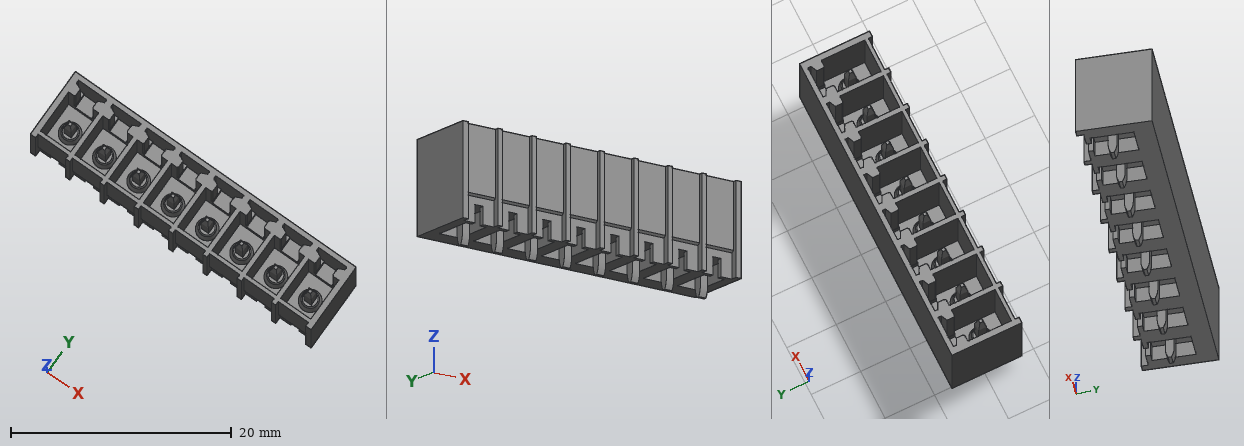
import cadquery as cq
import math

length = 31.17
depth = 7.08
height = 9.23

way_count = 8
bay_width = 3.35
end_wall = 0.6
pitch = (length - 2 * end_wall - bay_width) / (way_count - 1)
way_xs = [(i - (way_count - 1) / 2) * pitch for i in range(way_count)]

rib_projection = 0.4
front_wall = 0.37
foot_height = 2.5
foot_setback = 0.25
foot_slope = 0.2
foot_wall = 0.47

cavity_front = rib_projection + front_wall
cavity_back = 5.17
floor_top = 3.02

back_wall = 0.5
latch_back = depth - back_wall
wing_width = 3.12
wing_side = 0.3
wing_taper = 0.28
neck_width = 1.9
neck_chamfer = 0.12
wing_floor = 4.35
neck_floor_width = 1.85
neck_floor = 3.75

pocket_height = 1.75
pocket_width = 2.3
pocket_front = rib_projection + foot_setback + foot_wall
pin_slot_width = 0.95

collar_base_diameter = 2.15
collar_shoulder_diameter = 1.68
collar_top_diameter = 1.43
collar_shoulder_height = 0.78
collar_height = 0.95

pin_width = 0.8
pin_y = 3.05
pin_top = 7.8
tip_length = 1.25
tip_width = 0.3
tail_length = 1.45
tail_straight = 0.4
tail_end_depth = 0.3


def box(width, y_front, y_back, z_bottom, z_top, x):
    """Box centred on x, between the given y and z limits."""
    return (
        cq.Workplane("XY")
        .box(width, y_back - y_front, z_top - z_bottom, centered=(True, False, False))
        .translate((x, y_front, z_bottom))
    )


def front_relief(x):
    """Recess between two ribs, deeper at the foot with a sloped step."""
    foot_y = rib_projection + foot_setback
    profile = [
        (0, 0),
        (foot_y, 0),
        (foot_y, foot_height),
        (rib_projection, foot_height + foot_slope),
        (rib_projection, height),
        (0, height),
    ]
    return (
        cq.Workplane("YZ", origin=(x - bay_width / 2, 0, 0))
        .polyline(profile).close()
        .extrude(bay_width)
    )


def latch_slot(x):
    """T-shaped slot, with wings at the back and a chamfered neck into the cavity."""
    wing_side_y = latch_back - wing_side
    right_half = [
        (wing_width / 2, latch_back),
        (wing_width / 2, wing_side_y),
        (neck_width / 2, wing_side_y - wing_taper),
        (neck_width / 2, cavity_back + neck_chamfer),
        (neck_width / 2 + neck_chamfer, cavity_back),
    ]
    left_half = [(-px, py) for px, py in reversed(right_half)]
    upper = (
        cq.Workplane("XY", origin=(x, 0, wing_floor))
        .polyline(right_half + left_half).close()
        .extrude(height - wing_floor)
    )
    lower = box(neck_floor_width, cavity_back, latch_back, neck_floor, wing_floor, x)
    return upper.union(lower)


def collar(x):
    """Round collar around the pin, steep below and tapering more at the top."""
    profile = [
        (0, floor_top),
        (collar_base_diameter / 2, floor_top),
        (collar_shoulder_diameter / 2, floor_top + collar_shoulder_height),
        (collar_top_diameter / 2, floor_top + collar_height),
        (0, floor_top + collar_height),
    ]
    return (
        cq.Workplane("XZ")
        .polyline(profile).close()
        .revolve(360, (0, 0, 0), (0, 1, 0))
        .translate((x, pin_y, 0))
    )


def pin_tail():
    """Tail end whose front and back faces curve inwards from the straight shaft."""
    half = pin_width / 2
    half_end = tail_end_depth / 2
    inset = half - half_end
    arc_drop = tail_length - tail_straight
    arc_radius = (arc_drop**2 + inset**2) / (2 * inset)
    mid_drop = arc_drop / 2
    mid_y = half - arc_radius + math.sqrt(arc_radius**2 - mid_drop**2)
    mid_z = -tail_straight - mid_drop
    return (
        cq.Workplane("YZ", origin=(-half, 0, 0))
        .moveTo(half, -tail_straight)
        .threePointArc((mid_y, mid_z), (half_end, -tail_length))
        .lineTo(-half_end, -tail_length)
        .threePointArc((-mid_y, mid_z), (-half, -tail_straight))
        .close()
        .extrude(pin_width)
    )


def pin_tip():
    """Blunt pyramid at the top of the pin."""
    return (
        cq.Workplane("XY", origin=(0, 0, pin_top - tip_length))
        .rect(pin_width, pin_width)
        .workplane(offset=tip_length)
        .rect(tip_width, tip_width)
        .loft(ruled=True)
    )


def make_pin(x):
    """Square contact pin with its tip and tail."""
    half = pin_width / 2
    shaft = box(pin_width, -half, half, -tail_straight, pin_top - tip_length, 0)
    return shaft.union(pin_tip()).union(pin_tail()).translate((x, pin_y, 0))


def make_housing():
    """Housing block with one cavity, latch slot, pocket, collar and pin hole per way."""
    pin_front = pin_y - pin_width / 2
    pin_back = pin_y + pin_width / 2
    body = box(length, 0, depth, 0, height, 0)
    for x in way_xs:
        cavity = box(bay_width, cavity_front, cavity_back, floor_top, height, x)
        pocket = box(pocket_width, pocket_front, cavity_back, 0, pocket_height, x)
        pin_slot = box(pin_slot_width, 0, pocket_front, 0, pocket_height, x)
        pin_hole = box(pin_width, pin_front, pin_back, 0, height, x)
        body = body.cut(front_relief(x)).cut(cavity).cut(latch_slot(x))
        body = body.cut(pocket).cut(pin_slot)
        body = body.union(collar(x)).cut(pin_hole)
    return body


housing = make_housing()
pins = [make_pin(x) for x in way_xs]

result = cq.Compound.makeCompound([housing.val(), *[pin.val() for pin in pins]])